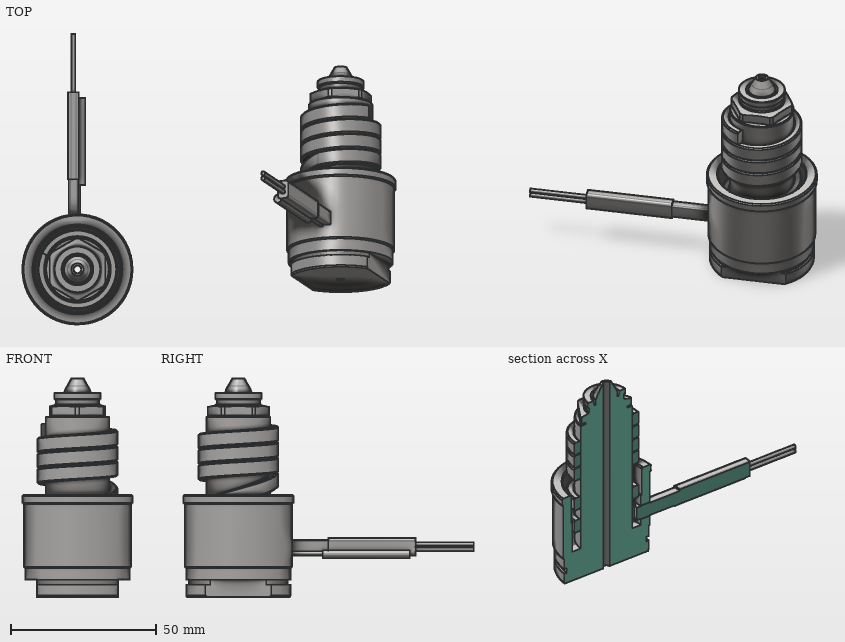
import cadquery as cq
import math

base_radius = 18.0
base_flat_offset = 14.0
base_chamfer_height = 0.6
base_chamfer_width = 0.3
base_groove_radius = 17.0
base_groove_bottom = 4.3
base_groove_top = 6.0
barrel_bottom = 10.0
barrel_radius = 18.5
barrel_chamfer = 0.5
rim_radius = 19.0
rim_bottom = 32.0
rim_top = 35.2
rim_chamfer = 0.5
cavity_radius = 15.0
cavity_ledge = 24.0
cavity_lower_radius = 14.5
cavity_floor = 12.0

core_radius = 11.0
core_top = 62.1
core_chamfer = 0.3
neck_radius = 9.0
hex_bottom = 62.5
hex_top = 66.0
hex_across_flats = 19.0
hex_corner_radius = 10.6
hex_bevel_drop = 0.6
collar_groove_radius = 7.5
collar_root_bevel = 0.4
collar_groove_top = 67.8
collar_radius = 8.0
collar_bevel = 0.5
collar_top = 70.3
collar_top_chamfer = 0.2
collar_bore_radius = 5.5
collar_bore_floor_radius = 5.1
collar_bore_depth = 2.0

tip_root_radius = 4.6
tip_shoulder_radius = 3.5
tip_shoulder_height = 72.7
tip_radius = 2.1
tip_top = 75.2
tip_bulge = 0.15
melt_bore_radius = 1.3

coil_inner_radius = core_radius
coil_outer_radius = 13.8
coil_height = 5.2
coil_bevel = 0.5
coil_pitch = 5.3
coil_end_angle = 155.0
coil_end_height = 57.1
close_wound_turns = 3
open_wound_turns = 2
bend_angle = 75.0
close_wound_sweep = 360 * close_wound_turns + coil_end_angle - bend_angle
bend_height = coil_end_height - coil_pitch * close_wound_sweep / 360
steep_pitch = 24.0
steep_sweep = 122.0
steep_bottom_angle = bend_angle - steep_sweep
steep_bottom_height = bend_height - steep_pitch * steep_sweep / 360

lead_x = -1.4
lead_z = 17.3
lead_width = 3.3
lead_height = 4.8
lead_corner = 0.5
lead_start = 12.8
sleeve_width = 3.8
sleeve_height = 6.2
sleeve_corner = 1.0
sleeve_start = 31.0
sleeve_length = 30.0
wire_end = 81.0
wire_radius = 0.7
wire_spacing = 1.8
sensor_wire_x = 0.3
sensor_wire_z = 15.0
sensor_tube_radius = 1.4
sensor_tube_x = 1.3
sensor_tube_z = 14.7
sensor_tube_start = 29.0
sensor_tube_length = 30.0

lead_angle = math.degrees(math.atan2(lead_start, lead_x))
open_wound_sweep = 360 * open_wound_turns + steep_bottom_angle - lead_angle
open_wound_pitch = (steep_bottom_height - lead_z) * 360 / open_wound_sweep


def revolved(outline):
    """Close an outline drawn in radius and height and turn it around Z."""
    return outline.close().revolve(360, (0, 0, 0), (0, 1, 0))


def make_base():
    """Grooved foot with two parallel wrench flats facing -X and +X."""
    foot = revolved(
        cq.Workplane("XZ")
        .moveTo(0, 0)
        .lineTo(base_radius - base_chamfer_width, 0)
        .lineTo(base_radius, base_chamfer_height)
        .lineTo(base_radius, base_groove_bottom)
        .lineTo(base_groove_radius, base_groove_bottom)
        .lineTo(base_groove_radius, base_groove_top)
        .lineTo(0, base_groove_top)
    )
    flats = cq.Workplane("XY").rect(2 * base_flat_offset, 2 * base_radius).extrude(base_groove_top)
    return foot.intersect(flats)


def make_cup():
    """Barrel and rim around the cavity that takes the lower coil."""
    return revolved(
        cq.Workplane("XZ")
        .moveTo(0, base_groove_top)
        .lineTo(base_radius, base_groove_top)
        .lineTo(base_radius, barrel_bottom)
        .lineTo(barrel_radius, barrel_bottom + barrel_chamfer)
        .lineTo(barrel_radius, rim_bottom)
        .lineTo(rim_radius, rim_bottom + rim_chamfer)
        .lineTo(rim_radius, rim_top - rim_chamfer)
        .lineTo(rim_radius - rim_chamfer, rim_top)
        .lineTo(cavity_radius + rim_chamfer, rim_top)
        .lineTo(cavity_radius, rim_top - rim_chamfer)
        .lineTo(cavity_radius, cavity_ledge)
        .lineTo(cavity_lower_radius, cavity_ledge)
        .lineTo(cavity_lower_radius, cavity_floor)
        .lineTo(0, cavity_floor)
    )


def make_core():
    """Central shaft up to the neck below the hexagon."""
    return revolved(
        cq.Workplane("XZ")
        .moveTo(0, cavity_floor)
        .lineTo(core_radius, cavity_floor)
        .lineTo(core_radius, core_top - core_chamfer)
        .lineTo(core_radius - core_chamfer, core_top)
        .lineTo(neck_radius, core_top)
        .lineTo(neck_radius, hex_bottom)
        .lineTo(0, hex_bottom)
    )


def make_hexagon():
    """Hexagon with turned corners and a conical top, two flats facing -X and +X."""
    prism = (
        cq.Workplane("XY", origin=(0, 0, hex_bottom))
        .polygon(6, hex_across_flats, circumscribed=True)
        .extrude(hex_top - hex_bottom)
    )
    turned = revolved(
        cq.Workplane("XZ")
        .moveTo(0, hex_bottom)
        .lineTo(hex_corner_radius, hex_bottom)
        .lineTo(hex_corner_radius, hex_top - hex_bevel_drop)
        .lineTo(collar_groove_radius + collar_root_bevel, hex_top)
        .lineTo(0, hex_top)
    )
    return prism.intersect(turned)


def make_collar_and_tip():
    """Grooved collar, ring-shaped recess and the rounded tip standing in it."""
    recess_floor = collar_top - collar_bore_depth
    bulge_point = (
        (tip_root_radius + tip_shoulder_radius) / 2 + tip_bulge,
        (collar_top + tip_shoulder_height) / 2,
    )
    return revolved(
        cq.Workplane("XZ")
        .moveTo(0, hex_top)
        .lineTo(collar_groove_radius + collar_root_bevel, hex_top)
        .lineTo(collar_groove_radius, hex_top + collar_root_bevel)
        .lineTo(collar_groove_radius, collar_groove_top)
        .lineTo(collar_radius, collar_groove_top + collar_bevel)
        .lineTo(collar_radius, collar_top - collar_top_chamfer)
        .lineTo(collar_radius - collar_top_chamfer, collar_top)
        .lineTo(collar_bore_radius, collar_top)
        .lineTo(collar_bore_floor_radius, recess_floor)
        .lineTo(tip_root_radius, recess_floor)
        .lineTo(tip_root_radius, collar_top)
        .threePointArc(bulge_point, (tip_shoulder_radius, tip_shoulder_height))
        .lineTo(tip_radius, tip_top)
        .lineTo(0, tip_top)
    )


def make_coil_run(start_angle, start_height, pitch, sweep_angle):
    """Bevelled strip wound counterclockwise and upward around Z."""
    half = coil_height / 2
    rise = pitch * sweep_angle / 360
    path = cq.Wire.makeHelix(pitch, rise, coil_inner_radius)
    strip = (
        cq.Workplane("XZ")
        .moveTo(coil_inner_radius, -half + coil_bevel)
        .lineTo(coil_inner_radius + coil_bevel, -half)
        .lineTo(coil_outer_radius - coil_bevel, -half)
        .lineTo(coil_outer_radius, -half + coil_bevel)
        .lineTo(coil_outer_radius, half - coil_bevel)
        .lineTo(coil_outer_radius - coil_bevel, half)
        .lineTo(coil_inner_radius + coil_bevel, half)
        .lineTo(coil_inner_radius, half - coil_bevel)
        .close()
        .sweep(cq.Workplane(path), isFrenet=True)
    )
    return strip.rotate((0, 0, 0), (0, 0, 1), start_angle).translate((0, 0, start_height))


def along_y(x, z, start_y):
    """Workplane at start_y with its axes along X and Z and its normal along -Y."""
    return cq.Workplane("XZ", origin=(x, start_y, z))


def make_rod(x, z, start_y, end_y, radius):
    """Round rod running along Y."""
    return along_y(x, z, start_y).circle(radius).extrude(start_y - end_y)


def make_rounded_bar(start_y, end_y, width, height, corner):
    """Rounded rectangular bar along Y, centered on the lead."""
    bar = along_y(lead_x, lead_z, start_y).rect(width, height).extrude(start_y - end_y)
    return bar.edges("|Y").fillet(corner)


def make_leads():
    """Flat lead with its sleeve and two wires, and the sensor wire with its tube."""
    leads = make_rounded_bar(lead_start, sleeve_start, lead_width, lead_height, lead_corner)
    sleeve_end = sleeve_start + sleeve_length
    leads = leads.union(
        make_rounded_bar(sleeve_start, sleeve_end, sleeve_width, sleeve_height, sleeve_corner)
    )
    for side in (-1, 1):
        wire_z = lead_z + side * wire_spacing / 2
        leads = leads.union(make_rod(lead_x, wire_z, sleeve_end, wire_end, wire_radius))
    leads = leads.union(
        make_rod(sensor_wire_x, sensor_wire_z, lead_start, sensor_tube_start, wire_radius)
    )
    sensor_tube_end = sensor_tube_start + sensor_tube_length
    return leads.union(
        make_rod(sensor_tube_x, sensor_tube_z, sensor_tube_start, sensor_tube_end, sensor_tube_radius)
    )


def make_heater(leads):
    """Close-wound, steep and open-wound coil runs joined to the leads."""
    close_wound = make_coil_run(bend_angle, bend_height, coil_pitch, close_wound_sweep)
    steep = make_coil_run(steep_bottom_angle, steep_bottom_height, steep_pitch, steep_sweep)
    open_wound = make_coil_run(lead_angle, lead_z, open_wound_pitch, open_wound_sweep)
    return close_wound.union(steep).union(open_wound).union(leads)


def make_nozzle(leads):
    """Cup, core, hexagon, collar and tip, bored through and opened for the leads."""
    melt_bore = cq.Workplane("XY").circle(melt_bore_radius).extrude(tip_top)
    return (
        make_base()
        .union(make_cup())
        .union(make_core())
        .union(make_hexagon())
        .union(make_collar_and_tip())
        .cut(melt_bore)
        .cut(leads)
    )


leads = make_leads()
heater = make_heater(leads)
nozzle = make_nozzle(leads)

result = cq.Compound.makeCompound([nozzle.solids().val(), heater.solids().val()])